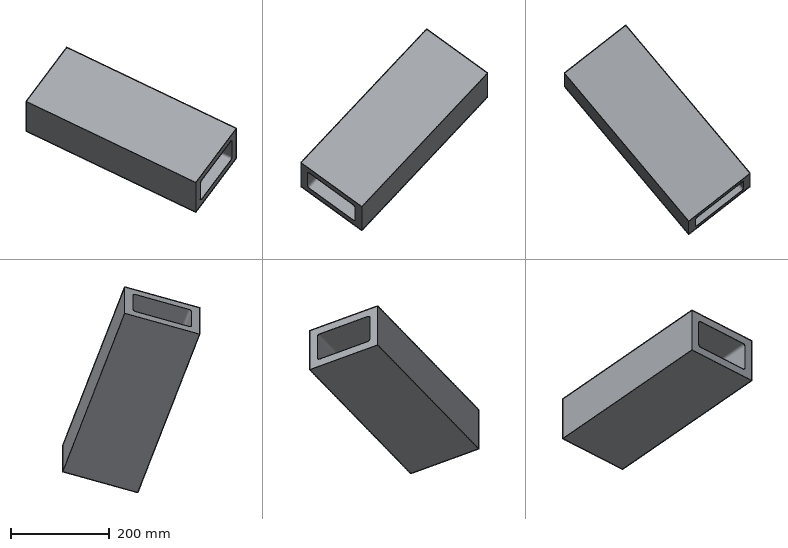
import cadquery as cq

length = 400.0
width = 160.0
height = 100.0
wall = 18.0
bore_corner_radius = 6.0

outer_block = cq.Workplane("XY").box(length, width, height)

bore = (
    cq.Workplane("XY")
    .box(length, width - 2 * wall, height - 2 * wall)
    .edges("|X")
    .fillet(bore_corner_radius)
)

result = outer_block.cut(bore)